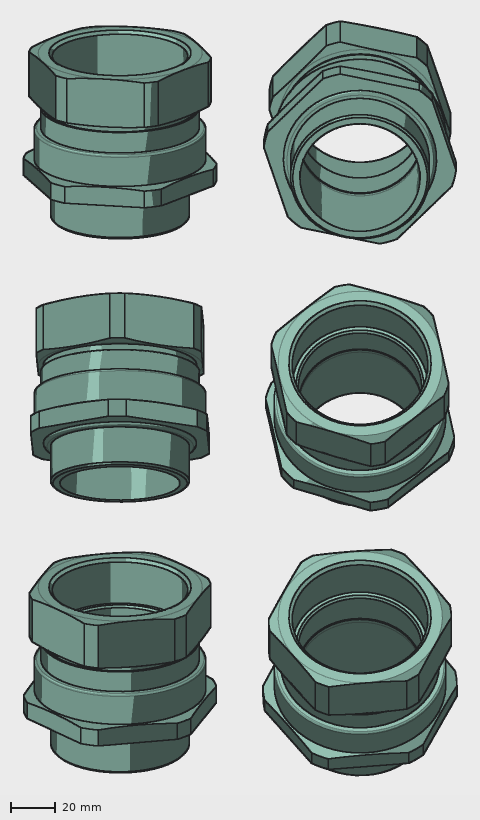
import cadquery as cq
import math

STUB_HEIGHT = 17.5
RING_HEIGHT = 1.5
HEX_BASE_HEIGHT = 9.0
COLLAR_HEIGHT = 15.0
SLEEVE_BAND_HEIGHT = 9.75
NECK_HEIGHT = 3.0
NUT_HEX_HEIGHT = 23.0

RING_Z = STUB_HEIGHT
HEX_BASE_Z = RING_Z + RING_HEIGHT
COLLAR_Z = HEX_BASE_Z + HEX_BASE_HEIGHT
BAND_Z = COLLAR_Z + COLLAR_HEIGHT
NECK_Z = BAND_Z + SLEEVE_BAND_HEIGHT
NUT_HEX_Z = NECK_Z + NECK_HEIGHT
TOP_Z = NUT_HEX_Z + NUT_HEX_HEIGHT

STUB_RADIUS = 31.5
STUB_CHAMFER = 1.0
RING_RADIUS = 34.75
RING_FILLET = 1.5
HEX_BASE_FLATS = 80.0
HEX_BASE_CORNERS = 88.0
COLLAR_RADIUS = 39.0
COLLAR_FILLET = 1.0
TAPER_END_RADIUS = 27.25
TAPER_TOP_Z = 37.8

BORE_RADIUS = 28.0
BORE_CHAMFER = 1.0
BAND_RADIUS = 36.0
SPIGOT_RADIUS = 32.0
SPIGOT_LENGTH = 2.5
SPIGOT_GAP = 0.75
SLEEVE_TOP_INSET = 22.0

NUT_FLATS = 75.0
NUT_CORNERS = 83.0
NUT_FACE_RADIUS = 37.25
NUT_BORE_RADIUS = 30.75
NUT_BORE_CHAMFER = 1.5
NECK_RADIUS = 34.9

BEVEL_ANGLE = 12.0

SPIGOT_END_Z = BAND_Z - SPIGOT_LENGTH
SOCKET_FLOOR_Z = SPIGOT_END_Z - SPIGOT_GAP
SLEEVE_TOP_Z = TOP_Z - SLEEVE_TOP_INSET


def bevel_drop(inner_radius, outer_radius):
    """Height lost by a conical bevel between two radii."""
    return (outer_radius - inner_radius) * math.tan(math.radians(BEVEL_ANGLE))


def revolved(points):
    """Solid of revolution about Z from (radius, z) points, starting on the -Y side."""
    outline = [(-radius, z) for radius, z in points]
    return cq.Workplane("YZ").polyline(outline).close().revolve(360, (0, 0), (0, 1))


def hex_prism(across_flats, bottom_z, top_z):
    """Hexagonal prism with two flats facing -X and +X."""
    sharp_diameter = across_flats / math.cos(math.radians(30))
    return (
        cq.Workplane("XY", origin=(0, 0, bottom_z))
        .polygon(6, sharp_diameter)
        .extrude(top_z - bottom_z)
        .rotate((0, 0, 0), (0, 0, 1), 30)
    )


def make_body():
    """Entry stub, rounded ring, hexagon and collar, with a tapered bore and a top socket."""
    corner_radius = HEX_BASE_CORNERS / 2
    corner_top_z = COLLAR_Z - bevel_drop(COLLAR_RADIUS, corner_radius)
    hexagon = revolved([
        (0, HEX_BASE_Z),
        (corner_radius, HEX_BASE_Z),
        (corner_radius, corner_top_z),
        (COLLAR_RADIUS, COLLAR_Z),
        (0, COLLAR_Z),
    ]).intersect(hex_prism(HEX_BASE_FLATS, HEX_BASE_Z, COLLAR_Z))
    stub = revolved([
        (0, 0),
        (STUB_RADIUS - STUB_CHAMFER, 0),
        (STUB_RADIUS, STUB_CHAMFER),
        (STUB_RADIUS, RING_Z),
        (0, RING_Z),
    ])
    ring = revolved([
        (0, RING_Z),
        (RING_RADIUS, RING_Z),
        (RING_RADIUS, COLLAR_Z),
        (0, COLLAR_Z),
    ]).faces("<Z").edges().fillet(RING_FILLET)
    collar = revolved([
        (0, COLLAR_Z),
        (COLLAR_RADIUS, COLLAR_Z),
        (COLLAR_RADIUS, BAND_Z),
        (0, BAND_Z),
    ]).faces(">Z").edges().fillet(COLLAR_FILLET)
    bore = revolved([
        (0, 0),
        (TAPER_END_RADIUS, 0),
        (BORE_RADIUS, TAPER_TOP_Z),
        (BORE_RADIUS, SOCKET_FLOOR_Z),
        (SPIGOT_RADIUS, SOCKET_FLOOR_Z),
        (SPIGOT_RADIUS, BAND_Z),
        (0, BAND_Z),
    ])
    return hexagon.union(stub).union(ring).union(collar).cut(bore)


def make_sleeve():
    """Plain band with a spigot down into the body and another up into the nut."""
    return revolved([
        (BORE_RADIUS, SPIGOT_END_Z),
        (SPIGOT_RADIUS, SPIGOT_END_Z),
        (SPIGOT_RADIUS, BAND_Z),
        (BAND_RADIUS, BAND_Z),
        (BAND_RADIUS, NECK_Z),
        (NUT_BORE_RADIUS, NECK_Z),
        (NUT_BORE_RADIUS, SLEEVE_TOP_Z),
        (BORE_RADIUS + BORE_CHAMFER, SLEEVE_TOP_Z),
        (BORE_RADIUS, SLEEVE_TOP_Z - BORE_CHAMFER),
    ])


def make_nut():
    """Hexagon nut bevelled at both ends, with a round neck below and a chamfered bore."""
    corner_radius = NUT_CORNERS / 2
    drop = bevel_drop(NUT_FACE_RADIUS, corner_radius)
    hexagon = revolved([
        (0, NUT_HEX_Z),
        (NUT_FACE_RADIUS, NUT_HEX_Z),
        (corner_radius, NUT_HEX_Z + drop),
        (corner_radius, TOP_Z - drop),
        (NUT_FACE_RADIUS, TOP_Z),
        (0, TOP_Z),
    ]).intersect(hex_prism(NUT_FLATS, NUT_HEX_Z, TOP_Z))
    neck = revolved([
        (0, NECK_Z),
        (NECK_RADIUS, NECK_Z),
        (NECK_RADIUS, NUT_HEX_Z),
        (0, NUT_HEX_Z),
    ])
    bore = revolved([
        (0, NECK_Z),
        (NUT_BORE_RADIUS, NECK_Z),
        (NUT_BORE_RADIUS, TOP_Z - NUT_BORE_CHAMFER),
        (NUT_BORE_RADIUS + NUT_BORE_CHAMFER, TOP_Z),
        (0, TOP_Z),
    ])
    return hexagon.union(neck).cut(bore)


body = make_body()
sleeve = make_sleeve()
nut = make_nut()

result = cq.Compound.makeCompound([body.solids().val(), sleeve.val(), nut.solids().val()])